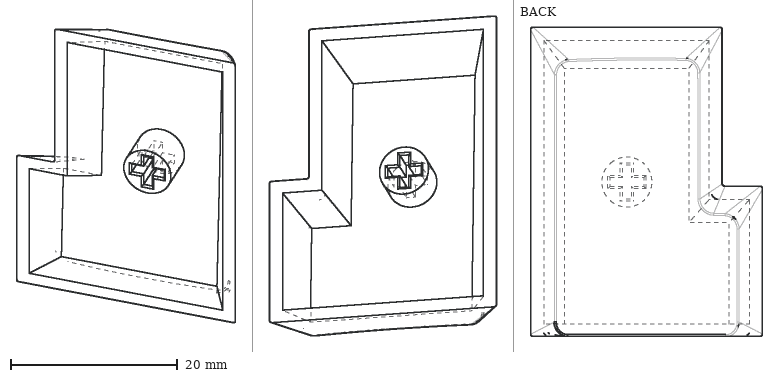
import math

import cadquery as cq


HEIGHT = 37.08
WIDTH = 27.81
UPPER_WIDTH = 22.98
LOWER_HEIGHT = 18.03
RIGHT = 11.525
UPPER_LEFT = RIGHT - UPPER_WIDTH
LEFT = RIGHT - WIDTH
TOP = HEIGHT / 2
BOTTOM = -HEIGHT / 2
STEP = BOTTOM + LOWER_HEIGHT
RIM_CORNER_RADIUS = 0.3

CROWN_TILT = math.radians(3.5)
CROWN_HEIGHT = 7.16
CROWN_SIDE_INSET = 2.92
CROWN_CORNER_RADIUS = 1.8
DISH_RADIUS = 115.0
DISH_DEPTH = 0.58
CROWN_EDGE_RADIUS = 0.25
DISH_CENTER_X = RIGHT - WIDTH / 2

END_DRAFT = 0.5

WALL = 1.6
BOTTOM_WALL = 1.5
CAVITY_DEPTH = 5.8
CAVITY_SIDE_INSET = 2.42

STEM_DIAMETER = 6.0
STEM_RECESS = 0.95
STEM_ROOT = 0.6
SOCKET_LENGTH = 4.1
SOCKET_WIDTH = 1.1
SOCKET_CHAMFER = 0.25
SOCKET_DEPTH = 3.8


def tilted_plane(height):
    """Plane parallel to the crown, crossing the stem axis at the given height; local y runs up the slope."""
    normal = (0, -math.cos(CROWN_TILT), math.sin(CROWN_TILT))
    return cq.Plane(origin=(0, height, 0), xDir=(1, 0, 0), normal=normal)


def step_outline(plane, left, upper_left, right, bottom, step, top, radius=0):
    """Closed L-shaped wire on a plane, with its corners rounded when a radius is given."""
    points = [
        (left, bottom),
        (right, bottom),
        (right, top),
        (upper_left, top),
        (upper_left, step),
        (left, step),
    ]
    wire = cq.Workplane(plane).polyline(points).close().val()
    if radius:
        wire = wire.fillet2D(radius, wire.Vertices())
    return wire


def tapered_body(height, side_inset, wall, bottom_wall, rim_radius, end_radius):
    """Solid between an outline on the rim plane and its inset copy on a plane parallel to the crown."""
    left = LEFT + wall
    upper_left = UPPER_LEFT + wall
    right = RIGHT - wall
    bottom = BOTTOM + bottom_wall
    step = STEP - wall
    top = TOP - wall

    def drafted(z):
        """Distance up the slope at which a drafted face starting at z meets the tilted plane."""
        end_z = (z - END_DRAFT * height) / (1 + END_DRAFT * math.tan(CROWN_TILT))
        return end_z / math.cos(CROWN_TILT)

    rim = step_outline(cq.Plane.XZ(), left, upper_left, right, bottom, step, top, rim_radius)
    end = step_outline(
        tilted_plane(height),
        left + side_inset,
        upper_left + side_inset,
        right - side_inset,
        bottom / math.cos(CROWN_TILT),
        drafted(step),
        drafted(top),
        end_radius,
    )
    return cq.Workplane(cq.Solid.makeLoft([rim, end], True))


def make_dish():
    """Cylinder lying along the crown slope that hollows the crown."""
    axis_height = CROWN_HEIGHT + (DISH_RADIUS - DISH_DEPTH) / math.cos(CROWN_TILT)
    slope = cq.Vector(0, math.sin(CROWN_TILT), math.cos(CROWN_TILT))
    start = cq.Vector(DISH_CENTER_X, axis_height, 0) - slope * HEIGHT
    return cq.Workplane(cq.Solid.makeCylinder(DISH_RADIUS, 2 * HEIGHT, start, slope))


def cross(plane, length, width):
    """Wire of a plus sign centred on the plane's origin."""
    arm = length / 2
    half = width / 2
    points = [
        (arm, -half), (arm, half), (half, half),
        (half, arm), (-half, arm), (-half, half),
        (-arm, half), (-arm, -half), (-half, -half),
        (-half, -arm), (half, -arm), (half, -half),
    ]
    return cq.Workplane(plane).polyline(points).close()


def make_stem():
    """Round post from the crown toward the rim."""
    length = CAVITY_DEPTH + STEM_ROOT - STEM_RECESS
    plane = cq.Plane.XZ(origin=(0, STEM_RECESS, 0))
    return cq.Workplane(plane).circle(STEM_DIAMETER / 2).extrude(-length)


def make_socket():
    """Cross-shaped socket with a chamfered mouth."""
    mouth_plane = cq.Plane.XZ(origin=(0, STEM_RECESS, 0))
    throat_plane = cq.Plane.XZ(origin=(0, STEM_RECESS + SOCKET_CHAMFER, 0))
    growth = 2 * SOCKET_CHAMFER
    mouth = cross(mouth_plane, SOCKET_LENGTH + growth, SOCKET_WIDTH + growth).val()
    throat = cross(throat_plane, SOCKET_LENGTH, SOCKET_WIDTH).val()
    lead_in = cq.Workplane(cq.Solid.makeLoft([mouth, throat], True))
    shaft = cross(mouth_plane, SOCKET_LENGTH, SOCKET_WIDTH).extrude(-SOCKET_DEPTH)
    return shaft.union(lead_in)


shell = tapered_body(CROWN_HEIGHT, CROWN_SIDE_INSET, 0, 0, RIM_CORNER_RADIUS, CROWN_CORNER_RADIUS)
shell = shell.cut(make_dish())
dish_edges = shell.faces("%CYLINDER").edges()
shell = dish_edges.fillet(CROWN_EDGE_RADIUS)
cavity = tapered_body(CAVITY_DEPTH, CAVITY_SIDE_INSET, WALL, BOTTOM_WALL, 0, 0)
result = shell.cut(cavity).union(make_stem()).cut(make_socket())